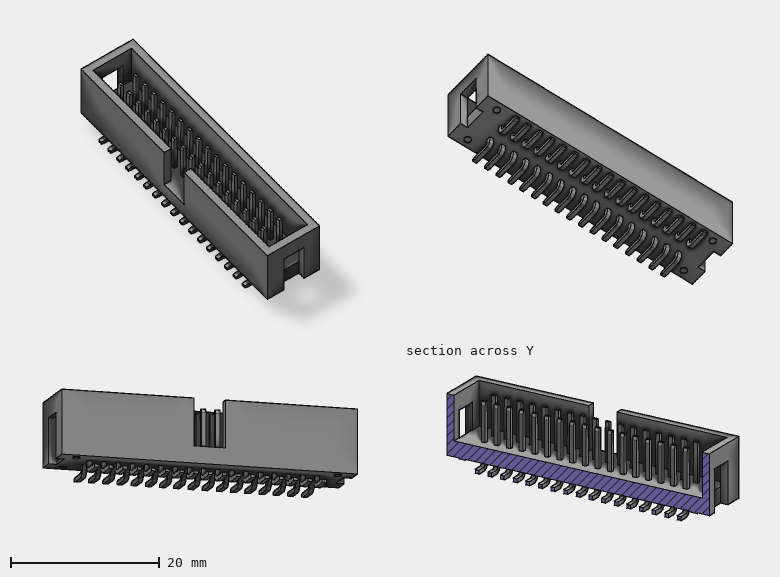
import cadquery as cq

housing_length = 41.6
housing_width = 8.82
housing_height = 9.0
housing_offset_y = 0.05
wall = 1.15
floor_thickness = 2.37

notch_width = 4.4

end_slot_width = 3.4
end_slot_height = 6.35
end_slot_offset_y = 0.12

foot_diameter = 1.0
foot_height = 0.12
foot_spacing_x = 36.8
foot_spacing_y = 6.4

pins_per_row = 17
row_length = 32.0
row_spacing = 2.55
pin_size = 0.62
pin_tip_drop = 0.75
pin_span_y = 9.5
overall_height = 10.65
bend_inner_radius = 0.4
taper_length = 0.5
taper_depth = 0.12

pin_pitch = row_length / (pins_per_row - 1)
pin_top = housing_height - pin_tip_drop
pin_bottom = housing_height - overall_height


def block(length, width, bottom, top, x=0, y=0):
    """Box centred at (x, y) between two heights."""
    return cq.Workplane("XY", origin=(x, y, bottom)).box(
        length, width, top - bottom, centered=(True, True, False)
    )


def make_housing():
    body = block(housing_length, housing_width, 0, housing_height, y=housing_offset_y)
    cavity = block(
        housing_length - 2 * wall,
        housing_width - 2 * wall,
        floor_thickness,
        housing_height,
        y=housing_offset_y,
    )
    front_wall_y = housing_offset_y - (housing_width - wall) / 2
    notch = block(notch_width, wall, floor_thickness, housing_height, y=front_wall_y)
    body = body.cut(cavity).cut(notch)
    for side in (-1, 1):
        end_wall_x = side * (housing_length - wall) / 2
        body = body.cut(
            block(wall, end_slot_width, 0, end_slot_height, end_wall_x, end_slot_offset_y)
        )
    return body


def make_feet():
    return (
        cq.Workplane("XY", origin=(0, housing_offset_y, 0))
        .rarray(foot_spacing_x, foot_spacing_y, 2, 2)
        .circle(foot_diameter / 2)
        .extrude(-foot_height)
    )


def make_pin(x):
    """Rear pin: a vertical post bent outward (+Y) into a flat solder foot, both ends tapered."""
    inner = (row_spacing - pin_size) / 2
    outer = inner + pin_size
    foot_top = pin_bottom + pin_size
    foot_tip = pin_span_y / 2
    bend_outer_radius = bend_inner_radius + pin_size
    return (
        cq.Workplane("YZ", origin=(x - pin_size / 2, 0, 0))
        .moveTo(inner + taper_depth, pin_top)
        .lineTo(outer - taper_depth, pin_top)
        .lineTo(outer, pin_top - taper_length)
        .lineTo(outer, foot_top + bend_inner_radius)
        .radiusArc((outer + bend_inner_radius, foot_top), -bend_inner_radius)
        .lineTo(foot_tip - taper_length, foot_top)
        .lineTo(foot_tip, foot_top - taper_depth)
        .lineTo(foot_tip, pin_bottom + taper_depth)
        .lineTo(foot_tip - taper_length, pin_bottom)
        .lineTo(inner + bend_outer_radius, pin_bottom)
        .radiusArc((inner, pin_bottom + bend_outer_radius), bend_outer_radius)
        .close()
        .extrude(pin_size)
    )


result = make_housing().union(make_feet())
for index in range(pins_per_row):
    rear_pin = make_pin(index * pin_pitch - row_length / 2)
    result = result.union(rear_pin).union(rear_pin.mirror("XZ"))